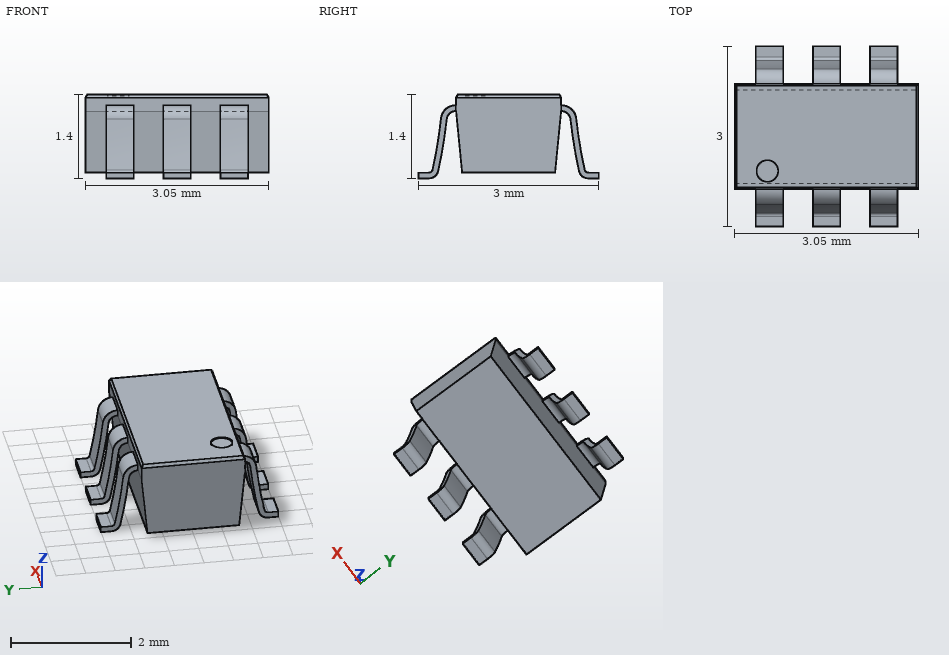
import cadquery as cq
import math

body_length = 3.05
body_width_top = 1.75
body_width_bottom = 1.55
standoff = 0.10
overall_height = 1.40
parting_height = 1.12
top_bevel_height = 0.055
top_bevel_angle = 30.0
top_bevel_inset = top_bevel_height * math.tan(math.radians(top_bevel_angle))

mark_diameter = 0.36
mark_depth = 0.02
mark_from_end = 0.54
mark_from_side = 0.30

leads_per_side = 3
lead_pitch = 0.95
lead_width = 0.46
lead_thickness = 0.10
lead_span = 3.00
lead_embed = 0.10
foot_flat_length = 0.175
shoulder_inner_radius = 0.15
foot_inner_radius = 0.06
shank_angle_top = math.radians(6.2)
shank_angle_bottom = math.radians(12.5)


def make_body():
    half_top = body_width_top / 2
    half_bottom = body_width_bottom / 2
    bevel_start = overall_height - top_bevel_height
    section = [
        (-half_bottom, standoff),
        (half_bottom, standoff),
        (half_top, parting_height),
        (half_top, bevel_start),
        (-half_top, bevel_start),
        (-half_top, parting_height),
    ]
    block = cq.Workplane("YZ").polyline(section).close().extrude(body_length / 2, both=True)
    crown = (
        cq.Workplane("XY", origin=(0, 0, bevel_start))
        .rect(body_length, body_width_top)
        .workplane(offset=top_bevel_height)
        .rect(body_length - 2 * top_bevel_inset, body_width_top - 2 * top_bevel_inset)
        .loft(ruled=True)
    )
    return block.union(crown)


def make_pin_one_mark():
    mark_x = -body_length / 2 + mark_from_end
    mark_y = -body_width_top / 2 + mark_from_side
    floor = overall_height - mark_depth
    return (
        cq.Workplane("XY", origin=(mark_x, mark_y, floor))
        .circle(mark_diameter / 2)
        .extrude(mark_depth)
    )


def polar(center, radius, angle):
    return (center[0] + radius * math.cos(angle), center[1] + radius * math.sin(angle))


def make_lead():
    """One lead on the +Y side, centred on X = 0, built from three tangent bends."""
    shoulder_outer_radius = shoulder_inner_radius + lead_thickness
    foot_outer_radius = foot_inner_radius + lead_thickness
    lead_tip = lead_span / 2
    lead_root = body_width_top / 2 - lead_embed
    lead_top = parting_height + lead_thickness

    foot_center = (lead_tip - foot_flat_length, foot_outer_radius)
    shoulder_center_z = parting_height - shoulder_inner_radius
    shank_drop = (
        shoulder_center_z + shoulder_outer_radius * math.sin(shank_angle_top)
        - foot_center[1] + foot_inner_radius * math.sin(shank_angle_bottom)
    )
    shank_outer_radius = shank_drop / (math.sin(shank_angle_bottom) - math.sin(shank_angle_top))
    shank_inner_radius = shank_outer_radius + lead_thickness
    bow_to_foot = shank_outer_radius - foot_inner_radius
    bow_center = polar(foot_center, bow_to_foot, shank_angle_bottom)
    bow_to_shoulder = shank_outer_radius + shoulder_outer_radius
    shoulder_center = polar(bow_center, -bow_to_shoulder, shank_angle_top)

    upright = math.pi / 2
    shoulder_mid = (upright + shank_angle_top) / 2
    shank_mid = (shank_angle_top + shank_angle_bottom) / 2
    foot_mid = (upright + shank_angle_bottom) / 2

    profile = (
        cq.Workplane("YZ")
        .moveTo(lead_root, lead_top)
        .lineTo(shoulder_center[0], lead_top)
        .threePointArc(
            polar(shoulder_center, shoulder_outer_radius, shoulder_mid),
            polar(shoulder_center, shoulder_outer_radius, shank_angle_top),
        )
        .threePointArc(
            polar(bow_center, -shank_outer_radius, shank_mid),
            polar(foot_center, -foot_inner_radius, shank_angle_bottom),
        )
        .threePointArc(
            polar(foot_center, -foot_inner_radius, foot_mid),
            (foot_center[0], lead_thickness),
        )
        .lineTo(lead_tip, lead_thickness)
        .lineTo(lead_tip, 0)
        .lineTo(foot_center[0], 0)
        .threePointArc(
            polar(foot_center, -foot_outer_radius, foot_mid),
            polar(foot_center, -foot_outer_radius, shank_angle_bottom),
        )
        .threePointArc(
            polar(bow_center, -shank_inner_radius, shank_mid),
            polar(shoulder_center, shoulder_inner_radius, shank_angle_top),
        )
        .threePointArc(
            polar(shoulder_center, shoulder_inner_radius, shoulder_mid),
            (shoulder_center[0], parting_height),
        )
        .lineTo(lead_root, parting_height)
        .close()
    )
    return profile.extrude(lead_width / 2, both=True)


result = make_body().cut(make_pin_one_mark())
back_lead = make_lead()
front_lead = back_lead.mirror("XZ")
for index in range(leads_per_side):
    lead_x = (index - (leads_per_side - 1) / 2) * lead_pitch
    result = result.union(back_lead.translate((lead_x, 0, 0)))
    result = result.union(front_lead.translate((lead_x, 0, 0)))